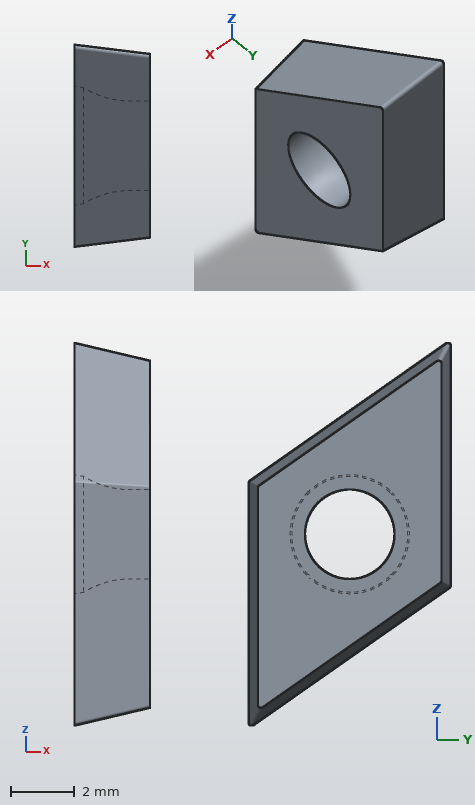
import cadquery as cq
import math

inscribed_diameter = 6.35
thickness = 2.38
acute_angle = 55.0
clearance_angle = 7.0
corner_radius = 0.1

rim_diameter = 3.74
seat_diameter = 3.64
throat_diameter = 2.8
entry_depth = 0.29
throat_depth = 1.75


def make_body():
    """Rhombus with two sides along Z, tapered by the clearance angle, corners rounded."""
    half_width = inscribed_diameter / 2
    angle = math.radians(acute_angle)
    acute_z = half_width / math.tan(angle / 2)
    obtuse_z = half_width * math.tan(angle / 2)
    corners = [
        (half_width, acute_z),
        (half_width, -obtuse_z),
        (-half_width, -acute_z),
        (-half_width, obtuse_z),
    ]
    body = cq.Workplane("YZ").polyline(corners).close().extrude(thickness, taper=clearance_angle)
    corner_edges = body.edges("not(<X or >X)")
    return corner_edges.fillet(corner_radius)


def make_hole():
    """Revolved cutter whose seat arc runs tangent into the throat."""
    rim_radius = rim_diameter / 2
    seat_radius = seat_diameter / 2
    throat_radius = throat_diameter / 2
    outline = (
        cq.Workplane("XZ")
        .moveTo(thickness, 0)
        .lineTo(thickness, -throat_radius)
        .lineTo(throat_depth, -throat_radius)
        .tangentArcPoint((entry_depth, -seat_radius), relative=False)
        .lineTo(0, -rim_radius)
        .lineTo(0, 0)
        .close()
    )
    return outline.revolve(360, (0, 0, 0), (1, 0, 0))


result = make_body().cut(make_hole())